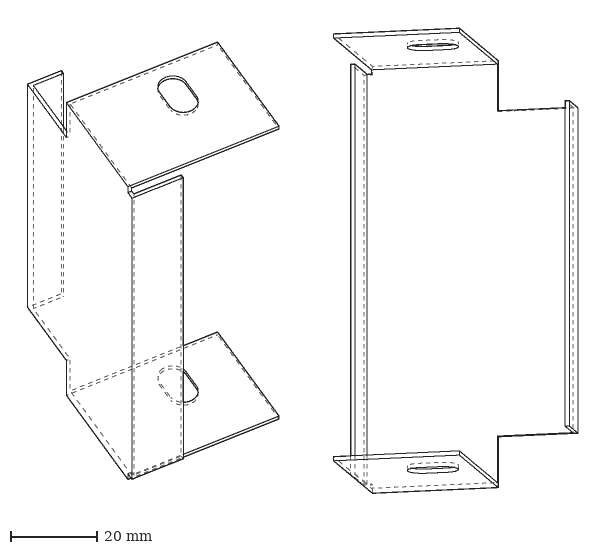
import cadquery as cq

width = 51.0
depth = 39.9
height = 101.0
sheet = 1.0

side_step_x = 19.0
side_step_z = 12.0
corner_relief = 2.0

left_flange_depth = 9.0
right_flange_depth = 13.5

slot_length = 12.0
slot_width = 7.0
slot_x = 29.0
slot_y = 24.0

end_flange_width = width - side_step_x - corner_relief
left_flange_height = height - 2 * side_step_z
right_flange_height = height - 2 * corner_relief


def corner_box(x, y, z, x_size, y_size, z_size):
    """Box with its lowest corner at (x, y, z)."""
    return cq.Workplane("XY").box(x_size, y_size, z_size, centered=False).translate((x, y, z))


plate = corner_box(side_step_x, 0, 0, end_flange_width, sheet, height)
plate = plate.union(corner_box(0, 0, side_step_z, side_step_x, sheet, left_flange_height))
plate = plate.union(
    corner_box(width - corner_relief, 0, corner_relief, corner_relief, sheet, right_flange_height)
)

left_flange = corner_box(0, 0, side_step_z, sheet, left_flange_depth, left_flange_height)
right_flange = corner_box(
    width - sheet, 0, corner_relief, sheet, right_flange_depth, right_flange_height
)
body = plate.union(left_flange).union(right_flange)

for flange_z in (0, height - sheet):
    body = body.union(corner_box(side_step_x, 0, flange_z, end_flange_width, depth, sheet))

slots = (
    cq.Workplane("XY")
    .center(slot_x, slot_y)
    .slot2D(slot_length, slot_width)
    .extrude(height)
)

result = body.cut(slots)